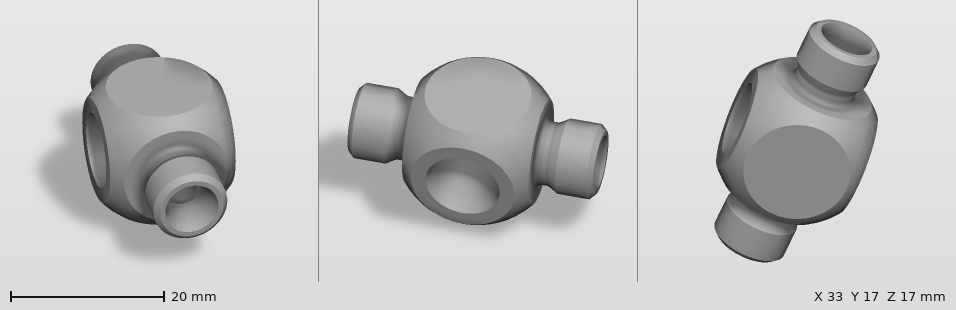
import cadquery as cq
import math

total_length = 33.0
body_size = 17.0
flat_diameter = 13.95
cross_bore_diameter = 10.0

stub_diameter = 10.0
end_chamfer = 0.73
stub_land_length = 4.2
groove_diameter = 8.4
groove_fillet = 0.8
groove_flank_angle = math.radians(30)

passage_diameter = 4.0
seat_mouth_diameter = 7.2
seat_floor_diameter = 5.0
seat_half_angle = math.radians(12)

half_length = total_length / 2
half_body = body_size / 2
stub_radius = stub_diameter / 2
groove_radius = groove_diameter / 2


def make_body():
    ball_radius = math.hypot(half_body, flat_diameter / 2)
    ball = cq.Workplane("XY").sphere(ball_radius)
    return ball.intersect(cq.Workplane("XY").box(body_size, body_size, body_size))


def make_stub():
    """Connector on the +X side, with a filleted groove next to the body."""
    flank_x = half_length - end_chamfer - stub_land_length
    tangent_radius = groove_radius + groove_fillet * (1 - math.cos(groove_flank_angle))
    tangent_x = flank_x - (stub_radius - tangent_radius) / math.tan(groove_flank_angle)
    floor_outer_x = tangent_x - groove_fillet * math.sin(groove_flank_angle)
    floor_inner_x = half_body + groove_fillet
    half_flank = groove_flank_angle / 2
    half_corner = math.radians(45)

    profile = (
        cq.Workplane("XY")
        .moveTo(0, 0)
        .lineTo(half_length, 0)
        .lineTo(half_length, stub_radius - end_chamfer)
        .lineTo(half_length - end_chamfer, stub_radius)
        .lineTo(flank_x, stub_radius)
        .lineTo(tangent_x, tangent_radius)
        .threePointArc(
            (
                floor_outer_x + groove_fillet * math.sin(half_flank),
                groove_radius + groove_fillet * (1 - math.cos(half_flank)),
            ),
            (floor_outer_x, groove_radius),
        )
        .lineTo(floor_inner_x, groove_radius)
        .threePointArc(
            (
                floor_inner_x - groove_fillet * math.sin(half_corner),
                groove_radius + groove_fillet * (1 - math.cos(half_corner)),
            ),
            (half_body, groove_radius + groove_fillet),
        )
        .lineTo(0, groove_radius + groove_fillet)
        .close()
    )
    return profile.revolve(360, (0, 0, 0), (1, 0, 0))


def make_seat():
    """Conical tube seat opening at the +X end."""
    mouth_radius = seat_mouth_diameter / 2
    floor_radius = seat_floor_diameter / 2
    floor_x = half_length - (mouth_radius - floor_radius) / math.tan(seat_half_angle)
    profile = cq.Workplane("XY").polyline(
        [(floor_x, 0), (half_length, 0), (half_length, mouth_radius), (floor_x, floor_radius)]
    )
    return profile.close().revolve(360, (0, 0, 0), (1, 0, 0))


def make_through_bore(plane, diameter, length):
    return cq.Workplane(plane).circle(diameter / 2).extrude(length / 2, both=True)


result = make_body()
stub = make_stub()
seat = make_seat()
for tool in (stub, stub.mirror("YZ")):
    result = result.union(tool)
for tool in (seat, seat.mirror("YZ")):
    result = result.cut(tool)
result = result.cut(make_through_bore("YZ", passage_diameter, total_length))
result = result.cut(make_through_bore("XZ", cross_bore_diameter, body_size))